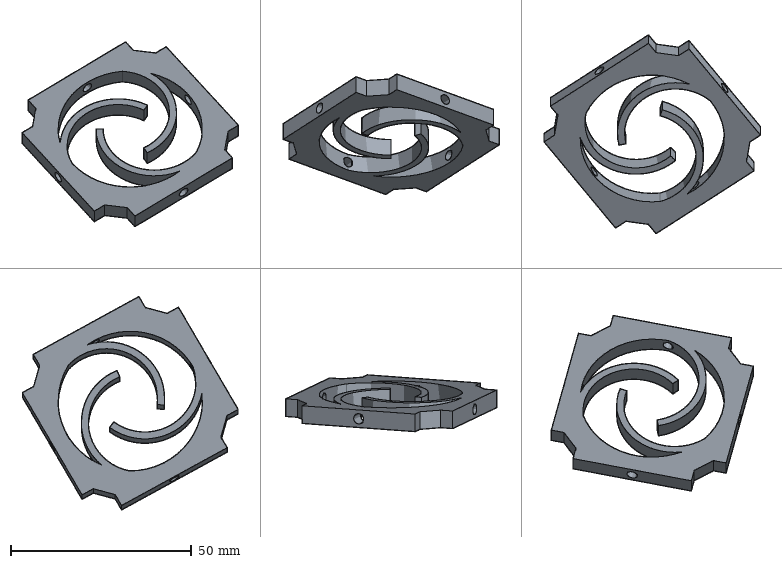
import cadquery as cq
import math

plate_width = 49.8
plate_thickness = 5.0
opening_radius = 20.0

corner_step = 3.6
side_length = 33.7

blade_count = 3
blade_inner_radius = 14.15
blade_thickness = 2.0
blade_outer_radius = blade_inner_radius + blade_thickness
blade_centre_offset = 6.65
first_blade_angle = 173.2

side_count = 4
screw_hole_diameter = 2.9
screw_hole_depth = 5.15


def polar_point(radius, angle):
    """Point at a radius and an angle in degrees from the +X axis."""
    return (radius * math.cos(math.radians(angle)), radius * math.sin(math.radians(angle)))


def make_frame():
    """Square plate with stepped, bevelled corners and a round opening."""
    outer = plate_width / 2
    side_end = side_length / 2
    step_end = outer - corner_step
    quarter = [(outer, side_end), (step_end, side_end), (side_end, step_end), (side_end, outer)]
    outline = []
    for sign_x, sign_y in [(1, 1), (-1, 1), (-1, -1), (1, -1)]:
        corner = [(sign_x * x, sign_y * y) for x, y in quarter]
        outline += corner if sign_x == sign_y else corner[::-1]
    plate = cq.Workplane("XY").polyline(outline).close().extrude(plate_thickness)
    opening = cq.Workplane("XY").circle(opening_radius).extrude(plate_thickness)
    return plate.cut(opening)


def make_blade(angle):
    """Half ring that starts at a free tip and ends buried in the frame."""
    blade = (
        cq.Workplane("XY")
        .moveTo(-blade_outer_radius, 0)
        .threePointArc((0, -blade_outer_radius), (blade_outer_radius, 0))
        .lineTo(blade_inner_radius, 0)
        .threePointArc((0, -blade_inner_radius), (-blade_inner_radius, 0))
        .close()
        .extrude(plate_thickness)
    )
    centre_x, centre_y = polar_point(blade_centre_offset, angle)
    return blade.rotate((0, 0, 0), (0, 0, 1), angle).translate((centre_x, centre_y, 0))


def make_screw_hole(angle):
    """Flat-ended drill from the middle of one side, slightly deeper than the frame wall."""
    drill = (
        cq.Workplane("YZ", origin=(plate_width / 2, 0, plate_thickness / 2))
        .circle(screw_hole_diameter / 2)
        .extrude(-screw_hole_depth)
    )
    return drill.rotate((0, 0, 0), (0, 0, 1), angle)


result = make_frame()

for blade_index in range(blade_count):
    result = result.union(make_blade(first_blade_angle + blade_index * 360 / blade_count))

for side_index in range(side_count):
    result = result.cut(make_screw_hole(side_index * 360 / side_count))